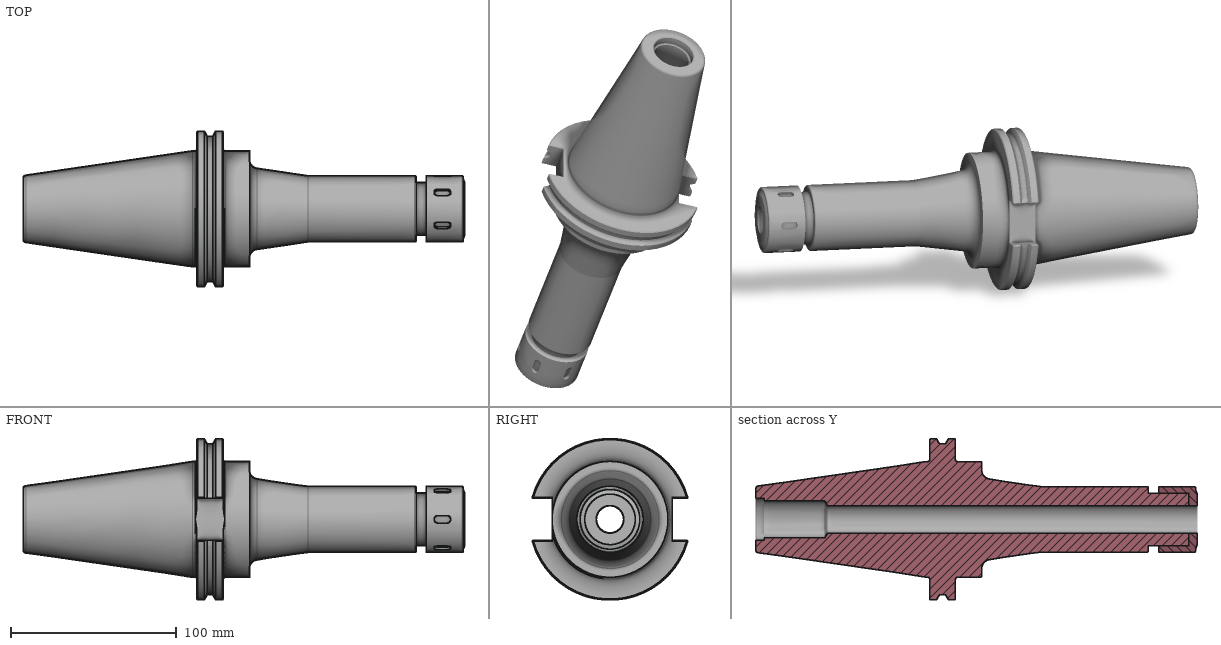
import cadquery as cq
import math


gauge_dia = 69.85
taper_length = 101.75
taper_ratio = 7 / 24
small_end_radius = gauge_dia / 2 - taper_length * taper_ratio / 2
small_end_fillet = 2.0

flange_dia = 97.5
flange_start = 3.2
flange_end = 19.1
edge_chamfer = 0.6
collar_dia = 70.0
collar_end = 35.0
root_fillet = 1.0
groove_centre = 11.1
groove_mouth_width = 7.0
groove_floor_dia = 91.5
groove_half_angle = 30.0
slot_width = 25.4
slot_floor_plus_y = 37.7
slot_floor_minus_y = 35.0

selection_margin = 0.01

neck_fillet = 5.0
neck_start_radius = 24.5
body_dia = 40.0
body_start = 70.0
body_end = 135.5
body_fillet = 1.0

nose_dia = 32.0
nose_end = 160.0

bore_dia = 16.38
mouth_dia = 25.0
mouth_depth = 5.0
mouth_chamfer = 0.5
thread_dia = 22.0
thread_end = -60.0
drill_tip_half_angle = 60.0

nut_dia = 40.0
nut_start = 141.5
nut_face = 164.0
nut_end = 165.02
nut_fillet = 1.0
nut_cone_base_dia = 36.0
nut_cone_tip_dia = 30.5
nut_slot_count = 6
nut_slot_length = 10.0
nut_slot_width = 4.5
nut_slot_depth = 2.0
nut_slot_centre = 151.4


def revolve_about_x(outline):
    """Revolve a closed outline in (x, radius) about the X axis."""
    return outline.close().revolve(360, (0, 0, 0), (1, 0, 0))


def make_holder_blank():
    flange_radius = flange_dia / 2
    groove_floor_radius = groove_floor_dia / 2
    groove_depth = flange_radius - groove_floor_radius
    groove_mouth_half = groove_mouth_width / 2
    groove_floor_half = groove_mouth_half - groove_depth * math.tan(math.radians(groove_half_angle))
    collar_radius = collar_dia / 2
    taper_end = (collar_dia - gauge_dia) / taper_ratio
    body_radius = body_dia / 2
    nose_radius = nose_dia / 2
    neck_start = collar_end + neck_fillet
    neck_slope = math.atan((neck_start_radius - body_radius) / (body_start - neck_start))
    fillet_centre = (neck_start, neck_start_radius + neck_fillet)
    fillet_tangent = (
        fillet_centre[0] - neck_fillet * math.sin(neck_slope),
        fillet_centre[1] - neck_fillet * math.cos(neck_slope),
    )
    fillet_mid_angle = (math.pi / 2 - neck_slope) / 2
    fillet_mid = (
        fillet_centre[0] - neck_fillet * math.cos(fillet_mid_angle),
        fillet_centre[1] - neck_fillet * math.sin(fillet_mid_angle),
    )
    outline = (
        cq.Workplane("XY")
        .moveTo(-taper_length, 0)
        .lineTo(-taper_length, small_end_radius)
        .lineTo(taper_end, collar_radius)
        .lineTo(flange_start - root_fillet, collar_radius)
        .radiusArc((flange_start, collar_radius + root_fillet), -root_fillet)
        .lineTo(flange_start, flange_radius - edge_chamfer)
        .lineTo(flange_start + edge_chamfer, flange_radius)
        .lineTo(groove_centre - groove_mouth_half, flange_radius)
        .lineTo(groove_centre - groove_floor_half, groove_floor_radius)
        .lineTo(groove_centre + groove_floor_half, groove_floor_radius)
        .lineTo(groove_centre + groove_mouth_half, flange_radius)
        .lineTo(flange_end - edge_chamfer, flange_radius)
        .lineTo(flange_end, flange_radius - edge_chamfer)
        .lineTo(flange_end, collar_radius + root_fillet)
        .radiusArc((flange_end + root_fillet, collar_radius), -root_fillet)
        .lineTo(collar_end, collar_radius)
        .lineTo(collar_end, fillet_centre[1])
        .threePointArc(fillet_mid, fillet_tangent)
        .lineTo(body_start, body_radius)
        .lineTo(body_end - body_fillet, body_radius)
        .radiusArc((body_end, body_radius - body_fillet), body_fillet)
        .lineTo(body_end, nose_radius)
        .lineTo(nose_end, nose_radius)
        .lineTo(nose_end, 0)
    )
    blank = revolve_about_x(outline)
    return blank.faces("<X").edges().fillet(small_end_fillet)


def make_bore():
    bore_radius = bore_dia / 2
    mouth_radius = mouth_dia / 2
    thread_radius = thread_dia / 2
    tip_length = (thread_radius - bore_radius) / math.tan(math.radians(drill_tip_half_angle))
    outline = (
        cq.Workplane("XY")
        .moveTo(-taper_length, 0)
        .lineTo(-taper_length, mouth_radius + mouth_chamfer)
        .lineTo(-taper_length + mouth_chamfer, mouth_radius)
        .lineTo(-taper_length + mouth_depth, mouth_radius)
        .lineTo(-taper_length + mouth_depth, thread_radius)
        .lineTo(thread_end, thread_radius)
        .lineTo(thread_end + tip_length, bore_radius)
        .lineTo(nut_end, bore_radius)
        .lineTo(nut_end, 0)
    )
    return revolve_about_x(outline)


def make_drive_slot(floor_y, side):
    """Box outside floor_y on one side (+1 or -1) of the axis, as wide as the flange and its root fillets."""
    span = flange_end - flange_start + 2 * root_fillet
    middle = (flange_start + flange_end) / 2
    depth = flange_dia / 2
    slot = cq.Workplane("XY").box(span, depth, slot_width)
    return slot.translate((middle, side * (floor_y + depth / 2), 0))


def chamfer_drive_slots(holder):
    """Chamfer the slot wall edges on the flange faces and on the lands beside the groove."""
    lands = (
        (flange_start, groove_centre - groove_mouth_width / 2),
        (groove_centre + groove_mouth_width / 2, flange_end),
    )
    for land_start, land_end in lands:
        for wall_z in (-slot_width / 2, slot_width / 2):
            land_edges = cq.selectors.BoxSelector(
                (land_start - selection_margin, -flange_dia, wall_z - selection_margin),
                (land_end + selection_margin, flange_dia, wall_z + selection_margin),
                boundingbox=True,
            )
            holder = holder.edges(land_edges).chamfer(edge_chamfer)
    return holder


def make_holder():
    holder = (
        make_holder_blank()
        .cut(make_bore())
        .cut(make_drive_slot(slot_floor_plus_y, 1))
        .cut(make_drive_slot(slot_floor_minus_y, -1))
    )
    return chamfer_drive_slots(holder)


def make_nut():
    nut_radius = nut_dia / 2
    outline = (
        cq.Workplane("XY")
        .moveTo(nut_start, nose_dia / 2)
        .lineTo(nut_start, nut_radius)
        .lineTo(nut_face - nut_fillet, nut_radius)
        .radiusArc((nut_face, nut_radius - nut_fillet), nut_fillet)
        .lineTo(nut_face, nut_cone_base_dia / 2)
        .lineTo(nut_end, nut_cone_tip_dia / 2)
        .lineTo(nut_end, bore_dia / 2)
        .lineTo(nose_end, bore_dia / 2)
        .lineTo(nose_end, nose_dia / 2)
    )
    nut = revolve_about_x(outline)
    spanner_slot = (
        cq.Workplane("XZ", origin=(nut_slot_centre, -nut_radius + nut_slot_depth, 0))
        .slot2D(nut_slot_length, nut_slot_width)
        .extrude(nut_radius)
    )
    for index in range(nut_slot_count):
        turn = index * 360 / nut_slot_count
        nut = nut.cut(spanner_slot.rotate((0, 0, 0), (1, 0, 0), turn))
    return nut


holder = make_holder()
nut = make_nut()
result = cq.Compound.makeCompound([holder.val(), nut.val()])